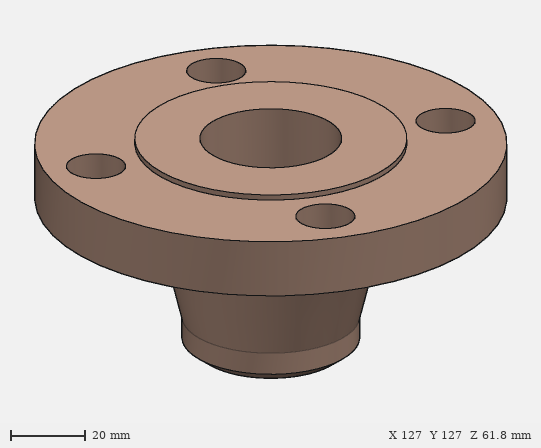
import cadquery as cq
import math

flange_diameter = 127.0
total_height = 61.8

flange_thickness = 16.0
raised_face_height = 1.5
raised_face_diameter = 73.2
bore_diameter = 38.1

bolt_hole_count = 4
bolt_hole_diameter = 15.9
bolt_circle_diameter = 98.4

weld_end_diameter = 47.9
weld_end_length = 9.3
bevel_height = 3.0
bevel_end_diameter = 39.9
hub_top_diameter = 62.7
fillet_height = 4.8

flange_top = total_height - raised_face_height
flange_bottom = flange_top - flange_thickness
taper_top = flange_bottom - fillet_height
taper_bottom = weld_end_length

hub_top_radius = hub_top_diameter / 2
weld_end_radius = weld_end_diameter / 2
taper_angle = math.atan2(hub_top_radius - weld_end_radius, taper_top - taper_bottom)
fillet_radius = fillet_height / (1 - math.sin(taper_angle))
fillet_center_r = hub_top_radius + fillet_radius * math.cos(taper_angle)
fillet_center_z = flange_bottom - fillet_radius
fillet_mid_angle = (math.pi - taper_angle + math.pi / 2) / 2
fillet_mid = (
    fillet_center_r + fillet_radius * math.cos(fillet_mid_angle),
    fillet_center_z + fillet_radius * math.sin(fillet_mid_angle),
)


def revolved_body():
    """Flange, raised face and hub turned around the Z axis, with the bore left open."""
    profile = (
        cq.Workplane("XZ")
        .moveTo(bore_diameter / 2, 0)
        .lineTo(bevel_end_diameter / 2, 0)
        .lineTo(weld_end_radius, bevel_height)
        .lineTo(weld_end_radius, taper_bottom)
        .lineTo(hub_top_radius, taper_top)
        .threePointArc(fillet_mid, (fillet_center_r, flange_bottom))
        .lineTo(flange_diameter / 2, flange_bottom)
        .lineTo(flange_diameter / 2, flange_top)
        .lineTo(raised_face_diameter / 2, flange_top)
        .lineTo(raised_face_diameter / 2, total_height)
        .lineTo(bore_diameter / 2, total_height)
        .close()
    )
    return profile.revolve(360, (0, 0, 0), (0, 1, 0))


def bolt_holes():
    """Cutters for the bolt holes, evenly spaced from the X axis."""
    return (
        cq.Workplane("XY")
        .workplane(offset=flange_bottom)
        .polarArray(bolt_circle_diameter / 2, 0, 360, bolt_hole_count)
        .circle(bolt_hole_diameter / 2)
        .extrude(flange_thickness)
    )


result = revolved_body().cut(bolt_holes())